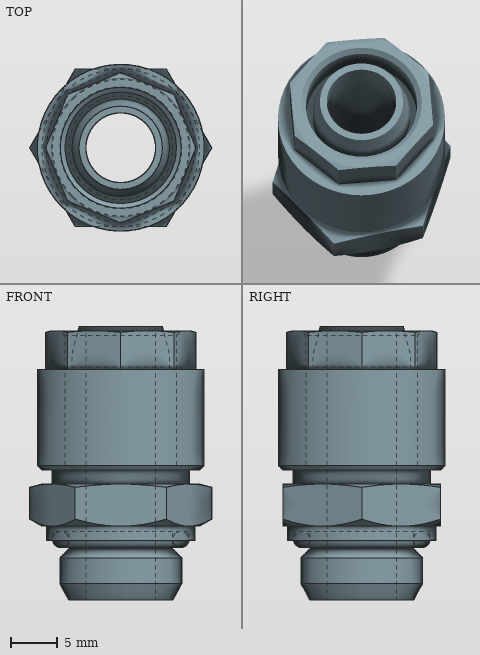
import cadquery as cq
import math

TOTAL_HEIGHT = 29.5
BORE_RADIUS = 7.5 / 2

THREAD_RADIUS = 13.15 / 2
UNDERCUT_RADIUS = 11.2 / 2
LEAD_IN_TOP = 1.8
THREAD_TOP = 4.55
THREAD_RELIEF_TOP = THREAD_TOP + THREAD_RADIUS - UNDERCUT_RADIUS

FLANGE_RADIUS = 16.0 / 2
FLANGE_BOTTOM = 6.43
HEX_BOTTOM = 7.96
HEX_TOP = 12.5
HEX_ACROSS_FLATS = 17.0
HEX_BOTTOM_CHAMFER_ANGLE = 30.0
HEX_TOP_CHAMFER_ANGLE = 15.0
NECK_RADIUS = 14.8 / 2

SHOULDER_Z = 25.13
SPIGOT_CONE_BOTTOM = 26.55
SPIGOT_TIP_RADIUS = 4.48
SPIGOT_BASE_RADIUS = 5.25

NUT_RADIUS = 18.0 / 2
NUT_BOTTOM = 14.0
NUT_BOTTOM_CHAMFER = 0.5
NUT_CYLINDER_TOP = 24.87
NUT_TOP = 29.03
NUT_BORE_RADIUS = 12.0 / 2
NUT_MOUTH_CHAMFER = 0.5
OCTAGON_ACROSS_FLATS = 15.0
OCTAGON_CHAMFER_ANGLE = 15.0

SEAL_OUTER_RADIUS = 14.72 / 2
SEAL_BOTTOM = 5.65
SEAL_TUBE_RADIUS = (SEAL_OUTER_RADIUS - UNDERCUT_RADIUS) / 2
SEAL_RECESS_TOP = SEAL_BOTTOM + 2 * SEAL_TUBE_RADIUS


def revolve(profile):
    """Turn a closed (radius, height) profile about the Z axis."""
    return profile.close().revolve(360, (0, 0, 0), (0, 1, 0))


def cylinder(radius, bottom, top):
    return cq.Workplane("XY").workplane(offset=bottom).circle(radius).extrude(top - bottom)


def polygon_prism(sides, across_flats, bottom, top):
    """Regular prism with a corner on the X axis."""
    across_corners = across_flats / math.cos(math.pi / sides)
    return cq.Workplane("XY").workplane(offset=bottom).polygon(sides, across_corners).extrude(top - bottom)


def corner_chamfer_envelope(sides, across_flats, bottom, top, bottom_angle, top_angle):
    """Turned blank whose conical ends cut only the corners of a prism."""
    flat_radius = across_flats / 2
    corner_radius = flat_radius / math.cos(math.pi / sides)
    overhang = corner_radius - flat_radius
    bottom_drop = overhang * math.tan(math.radians(bottom_angle))
    top_drop = overhang * math.tan(math.radians(top_angle))
    return revolve(
        cq.Workplane("XZ")
        .moveTo(0, bottom)
        .lineTo(flat_radius, bottom)
        .lineTo(corner_radius, bottom + bottom_drop)
        .lineTo(corner_radius, top - top_drop)
        .lineTo(flat_radius, top)
        .lineTo(0, top)
    )


def chamfered_prism(sides, across_flats, bottom, top, bottom_angle, top_angle):
    prism = polygon_prism(sides, across_flats, bottom, top)
    return prism.intersect(
        corner_chamfer_envelope(sides, across_flats, bottom, top, bottom_angle, top_angle)
    )


def make_fitting():
    """Threaded fitting with sealing flange, hexagon and hose spigot."""
    turned = revolve(
        cq.Workplane("XZ")
        .moveTo(0, 0)
        .lineTo(UNDERCUT_RADIUS, 0)
        .lineTo(THREAD_RADIUS, LEAD_IN_TOP)
        .lineTo(THREAD_RADIUS, THREAD_TOP)
        .lineTo(UNDERCUT_RADIUS, THREAD_RELIEF_TOP)
        .lineTo(UNDERCUT_RADIUS, SEAL_RECESS_TOP)
        .lineTo(SEAL_OUTER_RADIUS, SEAL_RECESS_TOP)
        .lineTo(SEAL_OUTER_RADIUS, FLANGE_BOTTOM)
        .lineTo(FLANGE_RADIUS, FLANGE_BOTTOM)
        .lineTo(FLANGE_RADIUS, HEX_BOTTOM)
        .lineTo(NECK_RADIUS, HEX_BOTTOM)
        .lineTo(NECK_RADIUS, NUT_BOTTOM)
        .lineTo(NUT_BORE_RADIUS, NUT_BOTTOM)
        .lineTo(NUT_BORE_RADIUS, SHOULDER_Z)
        .lineTo(SPIGOT_BASE_RADIUS, SHOULDER_Z)
        .lineTo(SPIGOT_BASE_RADIUS, SPIGOT_CONE_BOTTOM)
        .lineTo(SPIGOT_TIP_RADIUS, TOTAL_HEIGHT)
        .lineTo(0, TOTAL_HEIGHT)
    )
    hexagon = chamfered_prism(
        6, HEX_ACROSS_FLATS, HEX_BOTTOM, HEX_TOP, HEX_BOTTOM_CHAMFER_ANGLE, HEX_TOP_CHAMFER_ANGLE
    )
    return turned.union(hexagon).cut(cylinder(BORE_RADIUS, 0, TOTAL_HEIGHT))


def make_nut():
    """Union nut: round skirt, octagonal head and a bore with a chamfered mouth."""
    skirt = cylinder(NUT_RADIUS, NUT_BOTTOM, NUT_CYLINDER_TOP).faces("<Z").chamfer(NUT_BOTTOM_CHAMFER)
    head = chamfered_prism(
        8, OCTAGON_ACROSS_FLATS, NUT_CYLINDER_TOP, NUT_TOP, 0.0, OCTAGON_CHAMFER_ANGLE
    )
    bore = revolve(
        cq.Workplane("XZ")
        .moveTo(0, NUT_BOTTOM)
        .lineTo(NUT_BORE_RADIUS, NUT_BOTTOM)
        .lineTo(NUT_BORE_RADIUS, NUT_TOP - NUT_MOUTH_CHAMFER)
        .lineTo(NUT_BORE_RADIUS + NUT_MOUTH_CHAMFER, NUT_TOP)
        .lineTo(0, NUT_TOP)
    )
    return skirt.union(head).cut(bore)


def make_seal_ring():
    """O-ring filling the recess between the undercut and the flange rim."""
    tube_center_radius = UNDERCUT_RADIUS + SEAL_TUBE_RADIUS
    tube_center_z = SEAL_BOTTOM + SEAL_TUBE_RADIUS
    tube_section = cq.Workplane("XZ").center(tube_center_radius, tube_center_z).circle(SEAL_TUBE_RADIUS)
    return tube_section.revolve(360, (-tube_center_radius, 0, 0), (-tube_center_radius, 1, 0))


fitting = make_fitting()
nut = make_nut()
seal_ring = make_seal_ring()

result = cq.Compound.makeCompound([fitting.val(), nut.val(), seal_ring.val()])